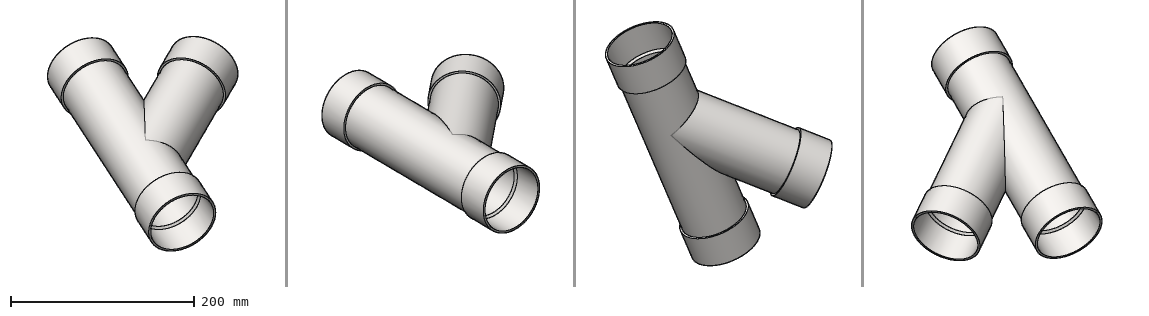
import cadquery as cq

run_length = 276.0
pipe_diameter = 75.0
bore_diameter = 70.0
socket_diameter = 80.0
socket_length = 37.5
branch_length = 175.5
branch_angle = 45.0

socket_bore_diameter = pipe_diameter
cone_length = (socket_bore_diameter - bore_diameter) / 2
socket_depth = socket_length - cone_length

left_mouth_x = -branch_length
right_mouth_x = left_mouth_x + run_length


def round_body(stations):
    """Solid of revolution about X through (x, diameter) stations in order."""
    profile = [(stations[0][0], 0)]
    profile += [(x, diameter / 2) for x, diameter in stations]
    profile += [(stations[-1][0], 0)]
    return cq.Workplane("XY").polyline(profile).close().revolve(360, (0, 0, 0), (1, 0, 0))


def socket_outside(mouth_x, inward):
    """Stations of a socket's outer skin, mouth first; inward is +1 or -1 along X."""
    shoulder_x = mouth_x + inward * socket_length
    return [(mouth_x, socket_diameter), (shoulder_x, socket_diameter), (shoulder_x, pipe_diameter)]


def socket_inside(mouth_x, inward):
    """Stations of a socket's bore and cone, mouth first; inward is +1 or -1 along X."""
    return [
        (mouth_x, socket_bore_diameter),
        (mouth_x + inward * socket_depth, socket_bore_diameter),
        (mouth_x + inward * socket_length, bore_diameter),
    ]


def fitting(socket, diameter):
    """Run and 45 degree branch, joined, with the given socket stations at each mouth."""
    left_end = socket(left_mouth_x, 1)
    right_end = socket(right_mouth_x, -1)[::-1]
    run = round_body(left_end + right_end)
    branch = round_body(left_end + [(0, diameter)])
    return run.union(branch.rotate((0, 0, 0), (0, 0, 1), -branch_angle))


result = fitting(socket_outside, pipe_diameter).cut(fitting(socket_inside, bore_diameter))